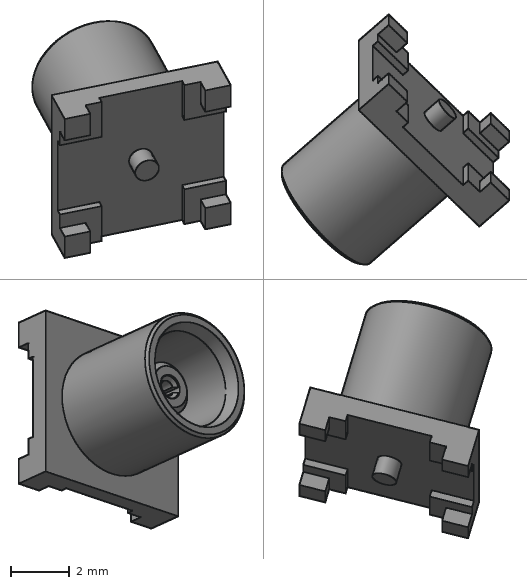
import cadquery as cq

flange_side = 6.0
flange_thickness = 1.415
foot_side = 0.925
foot_height = 0.51
pad_side = 1.505
recess_depth = 0.755

barrel_length = 4.45
barrel_diameter = 4.5
barrel_chamfer = 0.1
bore_diameter = 3.445
bore_mouth_diameter = 3.78
bore_mouth_depth = 0.48

post_diameter = 1.885
post_face_diameter = 1.49
post_setback = 1.38

contact_diameter = 0.85
contact_recess = 0.05
socket_mouth_diameter = 0.815
socket_diameter = 0.55
socket_depth = 1.5
socket_tip_depth = 0.155
contact_slot_width = 0.215
contact_slot_depth = 1.2
pin_setback = 0.07

back_x = barrel_length + flange_thickness
contact_face_x = post_setback + contact_recess
recess_floor_x = back_x - recess_depth
foot_base_x = back_x - foot_height


def revolve_about_x(profile):
    """Revolve a closed profile of (x, radius) points about the X axis."""
    return cq.Workplane("XY").polyline(profile).close().revolve(360, (0, 0, 0), (1, 0, 0))


def slab(start_x, end_x, size_y, size_z):
    """Box centred on the X axis between two X positions."""
    return (
        cq.Workplane("YZ")
        .workplane(offset=start_x)
        .rect(size_y, size_z)
        .extrude(end_x - start_x)
    )


def cut_cross(body, start_x, corner_side):
    """Clear a cross-shaped channel, leaving a square block at each corner."""
    channel_width = flange_side - 2 * corner_side
    body = body.cut(slab(start_x, back_x, flange_side, channel_width))
    return body.cut(slab(start_x, back_x, channel_width, flange_side))


def make_flange():
    flange = slab(barrel_length, back_x, flange_side, flange_side)
    flange = cut_cross(flange, foot_base_x, foot_side)
    return cut_cross(flange, recess_floor_x, pad_side)


def make_barrel():
    outer_radius = barrel_diameter / 2
    bore_radius = bore_diameter / 2
    return revolve_about_x([
        (0, bore_mouth_diameter / 2),
        (0, outer_radius - barrel_chamfer),
        (barrel_chamfer, outer_radius),
        (barrel_length, outer_radius),
        (barrel_length, bore_radius),
        (bore_mouth_depth, bore_radius),
    ])


def make_post():
    post_radius = post_diameter / 2
    face_radius = post_face_diameter / 2
    post_chamfer = post_radius - face_radius
    return revolve_about_x([
        (post_setback, 0),
        (post_setback, face_radius),
        (post_setback + post_chamfer, post_radius),
        (barrel_length, post_radius),
        (barrel_length, 0),
    ])


def make_socket():
    """Recessed cavity with a countersunk mouth, a conical tip and a slot along Y."""
    contact_radius = contact_diameter / 2
    mouth_radius = socket_mouth_diameter / 2
    socket_radius = socket_diameter / 2
    socket_end_x = contact_face_x + socket_depth
    cavity = revolve_about_x([
        (post_setback, 0),
        (post_setback, contact_radius),
        (contact_face_x, contact_radius),
        (contact_face_x, mouth_radius),
        (contact_face_x + mouth_radius - socket_radius, socket_radius),
        (socket_end_x, socket_radius),
        (socket_end_x + socket_tip_depth, 0),
    ])
    slot_end_x = contact_face_x + contact_slot_depth
    slot = slab(contact_face_x, slot_end_x, contact_diameter, contact_slot_width)
    contact_envelope = (
        cq.Workplane("YZ")
        .workplane(offset=contact_face_x)
        .circle(contact_radius)
        .extrude(contact_slot_depth)
    )
    return cavity.union(slot.intersect(contact_envelope))


def make_pin():
    return (
        cq.Workplane("YZ")
        .workplane(offset=recess_floor_x)
        .circle(contact_diameter / 2)
        .extrude(recess_depth - pin_setback)
    )


result = make_flange().union(make_barrel()).union(make_post()).union(make_pin()).cut(make_socket())